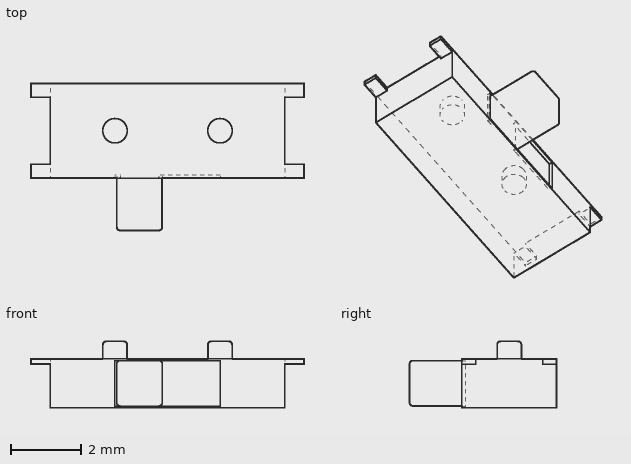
import cadquery as cq

body_length = 6.7
body_width = 2.7
body_height = 1.4

overall_length = 7.8
tab_width = 0.4
tab_thickness = 0.15

pin_diameter = 0.7
pin_height = 0.5
pin_spacing = 3.0
pin_fillet = 0.1

window_length = 3.0
window_margin = 0.05
window_height = body_height - 2 * window_margin
window_depth = 0.1

slider_length = 1.3
slider_height = window_height
slider_reach = 1.5
slider_end_gap = 0.05
slider_fillet = 0.1

front_y = -body_width / 2
window_floor_y = front_y + window_depth
slider_x = -window_length / 2 + slider_end_gap + slider_length / 2


def box_from_bottom(length, width, height):
    """Box centred on X and Y, with its bottom on Z = 0."""
    return cq.Workplane("XY").box(length, width, height, centered=(True, True, False))


def make_housing():
    """Housing block with the window recessed into its -Y face."""
    window = box_from_bottom(window_length, window_depth, window_height)
    window = window.translate((0, front_y + window_depth / 2, window_margin))
    return box_from_bottom(body_length, body_width, body_height).cut(window)


def make_tabs():
    """Tabs on both ends, flush with the top and the long sides of the housing."""
    tab_length = (overall_length - body_length) / 2
    tab_x = (body_length + tab_length) / 2
    tab_y = (body_width - tab_width) / 2
    return (
        cq.Workplane("XY")
        .workplane(offset=body_height - tab_thickness)
        .rarray(2 * tab_x, 2 * tab_y, 2, 2)
        .rect(tab_length, tab_width)
        .extrude(tab_thickness)
    )


def make_pins():
    """Round pins with rounded top edges."""
    return (
        cq.Workplane("XY")
        .workplane(offset=body_height)
        .rarray(pin_spacing, 1, 2, 1)
        .circle(pin_diameter / 2)
        .extrude(pin_height)
        .faces(">Z")
        .edges()
        .fillet(pin_fillet)
    )


def make_slider():
    """Button standing on the window floor, rounded on all but its rear edges."""
    depth = slider_reach + window_depth
    slider = box_from_bottom(slider_length, depth, slider_height)
    slider = slider.edges("|Y or <Y").fillet(slider_fillet)
    return slider.translate((slider_x, window_floor_y - depth / 2, window_margin))


def make_part():
    """Join the housing, tabs, pins and slider into one solid."""
    part = make_housing()
    for feature in (make_tabs(), make_pins(), make_slider()):
        part = part.union(feature)
    return part


result = make_part()